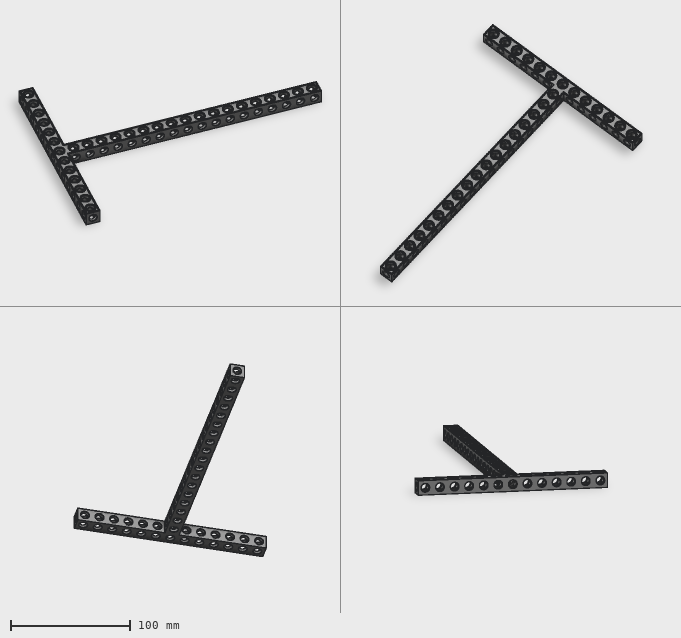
import cadquery as cq

bar_length = 237.5
holes_long = 19
holes_cross = 13
hole_diameter = 7.0
mouth_chamfer = 0.35
boss_diameter = 9.3
rim_width = 1.12
recess_depth = 0.35
edge_chamfer = 0.2

pitch = bar_length / holes_long
half_width = pitch / 2
cross_length = holes_cross * pitch

cross_places = [(i - holes_cross // 2) * pitch for i in range(holes_cross)]
stem_places = [i * pitch for i in range(1, holes_long)]
arm_places = [x for x in cross_places if x != 0]
hole_centres = [(x, 0) for x in cross_places] + [(0, y) for y in stem_places]


def tee(inset, height):
    """T-shaped block centred on Z = 0, with its outline pulled in by inset."""
    cross = cq.Workplane("XY").box(cross_length - 2 * inset, pitch - 2 * inset, height)
    stem = cq.Workplane("XY").box(pitch - 2 * inset, bar_length - 2 * inset, height)
    return cross.union(stem.translate((0, bar_length / 2 - half_width, 0)))


def drill(length):
    """Through-hole cutter standing on the XY plane, flared at both mouths."""
    radius = hole_diameter / 2
    mouth_radius = radius + mouth_chamfer
    profile = [
        (0, 0),
        (mouth_radius, 0),
        (radius, mouth_chamfer),
        (radius, length - mouth_chamfer),
        (mouth_radius, length),
        (0, length),
    ]
    return cq.Workplane("XZ").polyline(profile).close().revolve(360, (0, 0), (0, 1))


def drill_along_x(length):
    return drill(length).rotate((0, 0, 0), (0, 1, 0), 90)


def drill_along_y(length):
    return drill(length).rotate((0, 0, 0), (1, 0, 0), -90)


body = tee(0, pitch).edges().chamfer(edge_chamfer)

recess = tee(rim_width, recess_depth).translate((0, 0, half_width - recess_depth / 2))
bosses = cq.Workplane("XY").pushPoints(hole_centres).circle(boss_diameter / 2).extrude(half_width)
body = body.cut(recess).union(bosses)

vertical_drill = drill(pitch)
for x, y in hole_centres:
    body = body.cut(vertical_drill.translate((x, y, -half_width)))

arm_drill = drill_along_y(pitch)
for x in arm_places:
    body = body.cut(arm_drill.translate((x, -half_width, 0)))

stem_drill = drill_along_x(pitch)
for y in stem_places:
    body = body.cut(stem_drill.translate((-half_width, y, 0)))

cross_bore = drill_along_x(cross_length).translate((-cross_length / 2, 0, 0))
stem_bore = drill_along_y(bar_length).translate((0, -half_width, 0))
result = body.cut(cross_bore).cut(stem_bore)